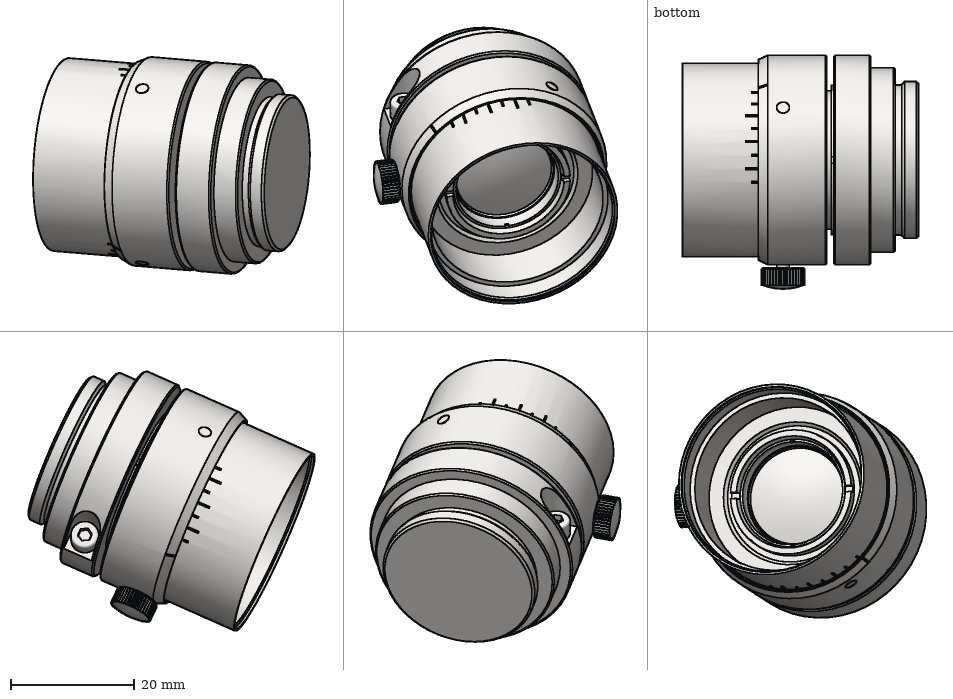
import cadquery as cq
import math

total_length = 38.27

front_ring_end = 4.05
iris_ring_front = 12.3
iris_ring_shoulder = 13.85
iris_ring_rear = 23.42
neck_end = 24.15
spacer_end = 24.55
clamp_rear = 30.55
flange_rear = 34.5
thread_front = 35.5
edge_chamfer = 0.25
thread_chamfer = 0.4
thread_lead = 0.5

root_overlap = 0.4
cut_margin = 0.4

barrel_radius = 15.73
iris_ring_radius = 34.02 / 2
iris_ring_front_radius = 16.25
neck_radius = 22.5 / 2
spacer_radius = 12.15
flange_radius = 30.0 / 2
mount_neck_radius = 12.2
thread_radius = 12.75

lip_radius = 15.3
lip_depth = 0.45
hood_radius = 15.05
floor_radius = 14.25
floor_x = 11.85
floor_bore_radius = 11.8
recess_radius = 22.5 / 2
recess_depth = 0.55
retainer_front = 10.7
retainer_radius = 10.25
retainer_bore_radius = 9.25
retainer_cone_radius = 17.8 / 2
inner_ring_x = 11.67
inner_ring_radius = 17.0 / 2
inner_cone_x = 13.15
inner_cone_radius = 16.6 / 2
glass_seat_x = 13.78
glass_seat_radius = 8.1
glass_radius = 7.92
glass_edge_x = 14.25
glass_apex_x = 12.95

clearance_radius = 16.05
clearance_depth = 0.4

screw_x = 16.3
screw_station_count = 3
set_screw_diameter = 2.05
set_screw_recess = 0.08
stem_diameter = 2.05
knob_radius = 3.52
knob_bottom = 17.5
knob_shoulder = 20.35
total_width = 37.95
knob_top = total_width - iris_ring_radius
knob_dome_radius = 3.2
knob_chamfer = 0.25
flute_count = 40
flute_depth = 0.23

clamp_screw_x = 27.6
clamp_screw_y = 13.55
clamp_seat_z = 4.6
clamp_seat_diameter = 4.98
clamp_head_diameter = 4.5
clamp_head_height = 3.0
clamp_head_round = 0.4
hex_flats = 2.0
hex_depth = 1.15

mark_depth = 0.08
mark_width = 0.25
short_mark = 1.05
long_mark = 2.03
mark_pitch = 8.1
first_mark_angle = -13.4
marks_per_scale = 7
extra_mark_angle = 224.3
index_angle = 46.0
slot_width = 1.05
spacer_slot_depth = 0.23
retainer_slot_depth = 0.85
inner_slot_width = 0.6
inner_slot_depth = 0.57
inner_slot_outer_radius = 8.75


def around_axis(shape, angle):
    """Turn a shape about the optical axis, from +Z towards +Y."""
    return shape.rotate((0, 0, 0), (1, 0, 0), -angle)


def box_at(x_start, x_end, width, z_start, z_end):
    """Box centred on the XZ plane, spanning the given X and Z ranges."""
    size_x = x_end - x_start
    size_z = z_end - z_start
    return cq.Workplane("XY").box(size_x, width, size_z).translate(
        (x_start + size_x / 2, 0, z_start + size_z / 2)
    )


def make_body():
    """Revolve the outer steps, the stepped front cavity and the front glass."""
    profile = (
        cq.Workplane("XY")
        .moveTo(0, lip_radius)
        .lineTo(0, barrel_radius)
        .lineTo(iris_ring_front + clearance_depth, barrel_radius)
        .lineTo(iris_ring_front + clearance_depth, clearance_radius)
        .lineTo(iris_ring_front, clearance_radius)
        .lineTo(iris_ring_front, iris_ring_front_radius)
        .lineTo(iris_ring_shoulder, iris_ring_radius)
        .lineTo(iris_ring_rear - edge_chamfer, iris_ring_radius)
        .lineTo(iris_ring_rear, iris_ring_radius - edge_chamfer)
        .lineTo(iris_ring_rear, neck_radius)
        .lineTo(neck_end, neck_radius)
        .lineTo(neck_end, spacer_radius)
        .lineTo(spacer_end, spacer_radius)
        .lineTo(spacer_end, iris_ring_radius - edge_chamfer)
        .lineTo(spacer_end + edge_chamfer, iris_ring_radius)
        .lineTo(clamp_rear - edge_chamfer, iris_ring_radius)
        .lineTo(clamp_rear, iris_ring_radius - edge_chamfer)
        .lineTo(clamp_rear, flange_radius)
        .lineTo(flange_rear - edge_chamfer, flange_radius)
        .lineTo(flange_rear, flange_radius - edge_chamfer)
        .lineTo(flange_rear, mount_neck_radius)
        .lineTo(thread_front, mount_neck_radius)
        .lineTo(thread_front + thread_lead, thread_radius)
        .lineTo(total_length - thread_chamfer, thread_radius)
        .lineTo(total_length, thread_radius - thread_chamfer)
        .lineTo(total_length, 0)
        .lineTo(glass_apex_x, 0)
    )
    glass_sag = glass_edge_x - glass_apex_x
    glass_curve = (glass_radius**2 + glass_sag**2) / (2 * glass_sag)
    half_sweep = math.asin(glass_radius / glass_curve) / 2
    glass_middle = (
        glass_apex_x + glass_curve * (1 - math.cos(half_sweep)),
        glass_curve * math.sin(half_sweep),
    )
    profile = (
        profile.threePointArc(glass_middle, (glass_edge_x, glass_radius))
        .lineTo(glass_seat_x, glass_seat_radius)
        .lineTo(glass_seat_x, inner_cone_radius)
        .lineTo(inner_cone_x, inner_ring_radius)
        .lineTo(inner_ring_x, inner_ring_radius)
        .lineTo(inner_ring_x, retainer_cone_radius)
        .lineTo(retainer_front, retainer_bore_radius)
        .lineTo(retainer_front, retainer_radius)
        .lineTo(floor_x + recess_depth, retainer_radius)
        .lineTo(floor_x + recess_depth, recess_radius)
        .lineTo(floor_x, floor_bore_radius)
        .lineTo(floor_x, floor_radius)
        .lineTo(front_ring_end, floor_radius)
        .lineTo(front_ring_end, hood_radius)
        .lineTo(lip_depth + lip_radius - hood_radius, hood_radius)
        .lineTo(lip_depth, lip_radius)
        .close()
    )
    return profile.revolve(360, (0, 0, 0), (1, 0, 0))


def make_thumb_screw():
    """Knob with V-shaped flutes and a domed top on a plain stem, pointing along +Y."""
    profile = (
        cq.Workplane("XY")
        .moveTo(0, iris_ring_radius - root_overlap)
        .lineTo(stem_diameter / 2, iris_ring_radius - root_overlap)
        .lineTo(stem_diameter / 2, knob_bottom)
        .lineTo(knob_radius - knob_chamfer, knob_bottom)
        .lineTo(knob_radius, knob_bottom + knob_chamfer)
        .lineTo(knob_radius, knob_shoulder)
        .lineTo(knob_dome_radius, knob_shoulder)
    )
    dome_height = knob_top - knob_shoulder
    dome_curve = (knob_dome_radius**2 + dome_height**2) / (2 * dome_height)
    half_sweep = math.asin(knob_dome_radius / dome_curve) / 2
    dome_middle = (
        dome_curve * math.sin(half_sweep),
        knob_top - dome_curve * (1 - math.cos(half_sweep)),
    )
    knob = (
        profile.threePointArc(dome_middle, (0, knob_top))
        .close()
        .revolve(360, (0, 0, 0), (0, 1, 0))
    )
    half_pitch = math.pi / flute_count
    tooth_points = []
    for index in range(2 * flute_count):
        radius = knob_radius - flute_depth * (index % 2)
        angle = index * half_pitch
        tooth_points.append((radius * math.cos(angle), radius * math.sin(angle)))
    teeth = cq.Workplane("XZ", origin=(0, knob_bottom, 0)).polyline(tooth_points).close()
    teeth = teeth.extrude(knob_bottom - knob_shoulder)
    grip_space = (
        cq.Workplane("XZ", origin=(0, knob_bottom, 0))
        .circle(knob_radius + cut_margin)
        .extrude(knob_bottom - knob_shoulder)
    )
    return knob.cut(grip_space.cut(teeth)).translate((screw_x, 0, 0))


def make_set_screw_recess(angle):
    """Shallow round recess in the iris ring, with its axis along the radius."""
    recess = (
        cq.Workplane("XY", origin=(screw_x, 0, iris_ring_radius - set_screw_recess))
        .circle(set_screw_diameter / 2)
        .extrude(cut_margin)
    )
    return around_axis(recess, angle)


def make_clamp_seat():
    """Flat seat for the clamp screw, round inboard and open to the outside of the ring."""
    seat = cq.Workplane("XY", origin=(clamp_screw_x, clamp_screw_y, clamp_seat_z))
    round_end = seat.circle(clamp_seat_diameter / 2).extrude(iris_ring_radius)
    open_side = seat.rect(clamp_seat_diameter, 2 * clamp_seat_diameter).extrude(iris_ring_radius)
    return round_end.union(open_side.translate((0, clamp_seat_diameter, 0)))


def make_clamp_screw():
    """Socket head with a rounded rim; the hexagon has two flats square to X."""
    head = (
        cq.Workplane("XY", origin=(clamp_screw_x, clamp_screw_y, clamp_seat_z - root_overlap))
        .circle(clamp_head_diameter / 2)
        .extrude(clamp_head_height + root_overlap)
        .faces(">Z")
        .edges()
        .fillet(clamp_head_round)
    )
    hex_corners = hex_flats / math.cos(math.radians(30))
    socket = (
        cq.Workplane("XY", origin=(clamp_screw_x, clamp_screw_y, clamp_seat_z + clamp_head_height))
        .transformed(rotate=(0, 0, 30))
        .polygon(6, hex_corners)
        .extrude(-hex_depth)
    )
    return head.cut(socket)


def make_scale_mark(angle, length):
    """Index line on the barrel, ending at the iris ring."""
    mark_start = iris_ring_front - length
    mark_floor = barrel_radius - mark_depth
    mark = box_at(mark_start, iris_ring_front, mark_width, mark_floor, barrel_radius + mark_depth)
    return around_axis(mark, angle)


def make_pointer(angle):
    """Index line along the front cone of the iris ring."""
    groove = (
        cq.Workplane("XZ")
        .moveTo(iris_ring_front, iris_ring_front_radius - mark_depth)
        .lineTo(iris_ring_shoulder, iris_ring_radius - mark_depth)
        .lineTo(iris_ring_shoulder, iris_ring_radius + cut_margin)
        .lineTo(iris_ring_front, iris_ring_radius + cut_margin)
        .close()
        .extrude(mark_width / 2, both=True)
    )
    return around_axis(groove, angle)


body = make_body()

for station in range(1, screw_station_count):
    body = body.cut(make_set_screw_recess(90 + 360 / screw_station_count * station))
body = body.union(make_thumb_screw())

body = body.cut(make_clamp_seat()).union(make_clamp_screw())

for side in (0, 180):
    body = body.cut(make_pointer(side + index_angle))
    for index in range(marks_per_scale):
        length = long_mark if index % 2 else short_mark
        body = body.cut(make_scale_mark(side + first_mark_angle + index * mark_pitch, length))
body = body.cut(make_scale_mark(extra_mark_angle, short_mark))

for angle in (0, 90, 180, 270):
    slot = box_at(neck_end, spacer_end, slot_width, spacer_radius - spacer_slot_depth, spacer_radius + cut_margin)
    body = body.cut(around_axis(slot, angle))
for angle in (90, 270):
    retainer_slot_end = retainer_front + retainer_slot_depth
    slot = box_at(retainer_front, retainer_slot_end, slot_width, inner_ring_radius, retainer_radius)
    body = body.cut(around_axis(slot, angle))
for angle in (0, 180):
    inner_slot_end = inner_ring_x + inner_slot_depth
    slot = box_at(inner_ring_x, inner_slot_end, inner_slot_width, inner_cone_radius, inner_slot_outer_radius)
    body = body.cut(around_axis(slot, angle))

result = body